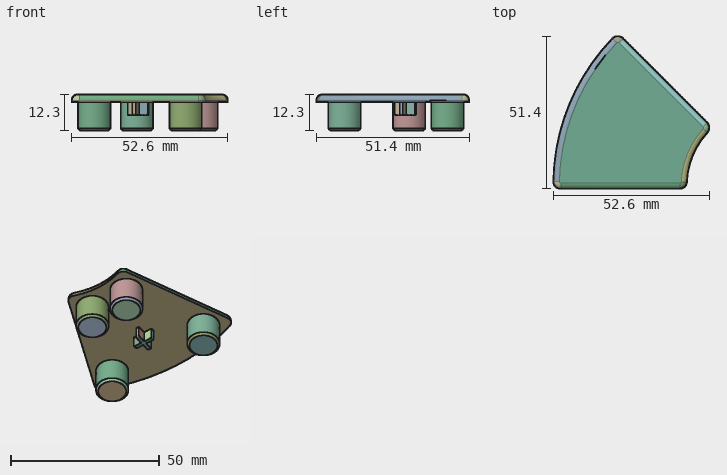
import cadquery as cq
import math


sector_angle = 45.0
outer_radius = 71.3
inner_radius = 26.25
side_overhang = 1.2
plate_thickness = 2.65
corner_radius = 2.5
rim_radius = 2.0

peg_diameter = 11.0
peg_length = 9.6
peg_chamfer = 0.8
peg_side_distance = 7.3
outer_peg_ring_radius = 64.0
inner_peg_ring_radius = 33.5

cross_ring_radius = 52.9
cross_diameter = 7.35
cross_arm_thickness = 1.2
cross_length = 4.4
cross_edge_radius = 0.45

first_side_angle = 180.0
middle_angle = first_side_angle - sector_angle / 2
middle_direction = (math.cos(math.radians(middle_angle)), math.sin(math.radians(middle_angle)))


def mirrored(point):
    """Mirror a point across the middle line of the sector."""
    x, y = point
    along = x * middle_direction[0] + y * middle_direction[1]
    return (2 * along * middle_direction[0] - x, 2 * along * middle_direction[1] - y)


def point_beside_first_side(radius, height):
    """Point at a distance from the arc axis, at a given height above the X axis."""
    return (-math.sqrt(radius**2 - height**2), height)


def on_middle_line(radius):
    return (radius * middle_direction[0], radius * middle_direction[1])


def make_plate():
    outer_corner = point_beside_first_side(outer_radius, -side_overhang)
    inner_corner = point_beside_first_side(inner_radius, -side_overhang)
    return (
        cq.Workplane("XY")
        .moveTo(*inner_corner)
        .lineTo(*outer_corner)
        .threePointArc(on_middle_line(outer_radius), mirrored(outer_corner))
        .lineTo(*mirrored(inner_corner))
        .threePointArc(on_middle_line(inner_radius), inner_corner)
        .close()
        .extrude(plate_thickness)
        .edges("|Z")
        .fillet(corner_radius)
        .faces(">Z")
        .edges()
        .fillet(rim_radius)
    )


def make_pegs():
    peg_height = peg_side_distance - side_overhang
    centers = []
    for ring_radius in (outer_peg_ring_radius, inner_peg_ring_radius):
        center = point_beside_first_side(ring_radius, peg_height)
        centers += [center, mirrored(center)]
    return (
        cq.Workplane("XY")
        .pushPoints(centers)
        .circle(peg_diameter / 2)
        .extrude(-peg_length)
        .faces("<Z")
        .edges()
        .chamfer(peg_chamfer)
    )


def make_cross():
    """Two crossed arms trimmed to a cylinder with a rounded lower edge."""
    arms = (
        cq.Workplane("XY")
        .rect(cross_diameter, cross_arm_thickness)
        .extrude(-cross_length)
        .union(cq.Workplane("XY").rect(cross_arm_thickness, cross_diameter).extrude(-cross_length))
    )
    envelope = (
        cq.Workplane("XY")
        .circle(cross_diameter / 2)
        .extrude(-cross_length)
        .faces("<Z")
        .edges()
        .fillet(cross_edge_radius)
    )
    x, y = on_middle_line(cross_ring_radius)
    return arms.intersect(envelope).rotate((0, 0, 0), (0, 0, 1), middle_angle).translate((x, y, 0))


result = make_plate().union(make_pegs()).union(make_cross())